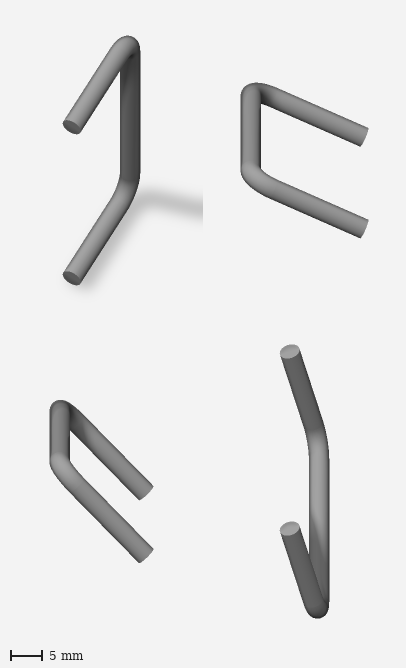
import cadquery as cq
import math

height = 45.25
depth = 21.65
rod_diameter = 3.25
bend_radius = 4.0

rod_radius = rod_diameter / 2
leg_z = height / 2 - rod_radius
leg_end_y = rod_radius - depth
bend_start_y = -bend_radius
grip_end_z = leg_z - bend_radius

bend_mid_y = bend_start_y + bend_radius * math.cos(math.radians(45))
bend_mid_z = grip_end_z + bend_radius * math.sin(math.radians(45))

centreline = (
    cq.Workplane("YZ")
    .moveTo(leg_end_y, -leg_z)
    .lineTo(bend_start_y, -leg_z)
    .threePointArc((bend_mid_y, -bend_mid_z), (0, -grip_end_z))
    .lineTo(0, grip_end_z)
    .threePointArc((bend_mid_y, bend_mid_z), (bend_start_y, leg_z))
    .lineTo(leg_end_y, leg_z)
)

result = (
    cq.Workplane("XZ", origin=(0, leg_end_y, -leg_z))
    .circle(rod_radius)
    .sweep(centreline)
)